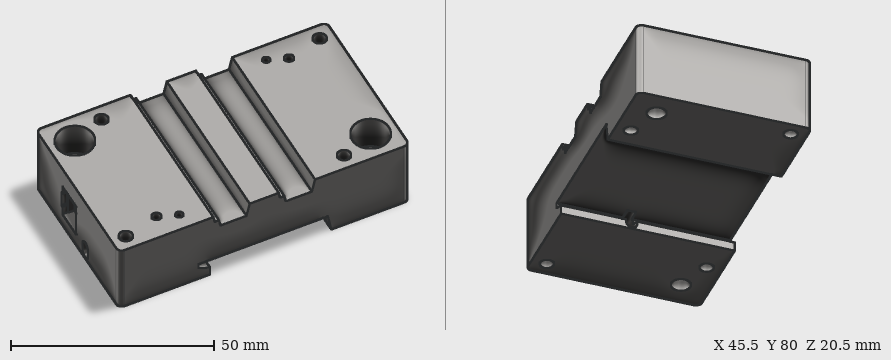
import cadquery as cq

WIDTH = 45.5
LENGTH = 80.0
HEIGHT = 20.5
CORNER_RADIUS = 1.5

GROOVE_BACK_EDGES = (14.0, -4.0)
GROOVE_WIDTH = 10.0
GROOVE_DEPTH = 4.0
GROOVE_WALL_RUN = 0.9
STEP_DEPTH = 1.9
STEP_LEDGE = 1.1

CHANNEL_HEIGHT = 5.3
CHANNEL_MOUTH_BACK = 18.5
CHANNEL_CEILING_BACK = 17.5
CHANNEL_FRONT = -18.1
LIP_FRONT = -14.9
LIP_HEIGHT = 2.5
LIP_ROOT_HEIGHT = 3.9

THROUGH_DIAMETER = 3.5
THROUGH_POINTS = [(-18.7, 36.1), (18.7, 24.0)]
SCREW_DIAMETER = 5.0
COUNTERBORE_DIAMETER = 10.0
COUNTERBORE_DEPTH = 10.0
SCREW_POINTS = [(15.3, 33.0)]
BLIND_DEPTH = 6.0
LARGE_BLIND_DIAMETER = 2.5
LARGE_BLIND_POINTS = [(-16.2, 26.4)]
SMALL_BLIND_DIAMETER = 2.0
SMALL_BLIND_POINTS = [(-18.2, 21.1)]

POCKET_X = -4.5
POCKET_Z = 9.0
POCKET_HEIGHT = 10.1
RIM_WIDTH = 7.6
RIM_DEPTH = 1.5
WELL_WIDTH = 7.2
WELL_DEPTH = 3.2
NOTCH_REACH = 0.6
NOTCH_HEIGHT = 4.7

SLOT_X = 4.2
SLOT_Z = 3.1
SLOT_WIDTH = 3.0
SLOT_HEIGHT = 5.4

END_Y = -LENGTH / 2


def side_prism(points):
    """Prism across the full width from a closed outline of (y, z) points."""
    return cq.Workplane("YZ").polyline(points).close().extrude(WIDTH / 2, both=True)


def groove(back_edge):
    """Top groove; the stepped wall is the one on the -Y side."""
    front_edge = back_edge - GROOVE_WIDTH
    floor_z = HEIGHT - GROOVE_DEPTH
    step_z = HEIGHT - STEP_DEPTH
    step_inset = GROOVE_WALL_RUN * STEP_DEPTH / GROOVE_DEPTH
    return side_prism([
        (back_edge, HEIGHT),
        (back_edge - GROOVE_WALL_RUN, floor_z),
        (front_edge + STEP_LEDGE + GROOVE_WALL_RUN, floor_z),
        (front_edge + STEP_LEDGE + step_inset, step_z),
        (front_edge + step_inset, step_z),
        (front_edge, HEIGHT),
    ])


def rail_channel():
    return side_prism([
        (CHANNEL_MOUTH_BACK, 0),
        (CHANNEL_CEILING_BACK, CHANNEL_HEIGHT),
        (CHANNEL_FRONT, CHANNEL_HEIGHT),
        (CHANNEL_FRONT, LIP_ROOT_HEIGHT),
        (LIP_FRONT, LIP_HEIGHT),
        (LIP_FRONT, 0),
    ])


def top_holes(points, diameter, depth):
    """Holes going down from the top face, with their half-turn counterparts."""
    opposite = [(-x, -y) for x, y in points]
    plane = cq.Workplane("XY").workplane(offset=HEIGHT)
    return plane.pushPoints(points + opposite).circle(diameter / 2).extrude(-depth)


def end_recess(x, width, height, depth):
    """Rectangular recess in the -Y end, centred at x and at the pocket height."""
    recess = cq.Workplane("XY").box(width, depth, height)
    return recess.translate((x, END_Y + depth / 2, POCKET_Z))


def connector_pocket():
    rim = end_recess(POCKET_X, RIM_WIDTH, POCKET_HEIGHT, RIM_DEPTH)
    well = end_recess(POCKET_X, WELL_WIDTH, POCKET_HEIGHT, WELL_DEPTH)
    notch_x = POCKET_X - NOTCH_REACH / 2
    notch = end_recess(notch_x, RIM_WIDTH + NOTCH_REACH, NOTCH_HEIGHT, RIM_DEPTH)
    return rim.union(well).union(notch)


def end_slot():
    plane = cq.Workplane("XZ", origin=(SLOT_X, END_Y, SLOT_Z))
    return plane.slot2D(SLOT_HEIGHT, SLOT_WIDTH, 90).extrude(END_Y - LIP_FRONT)


block = cq.Workplane("XY").box(WIDTH, LENGTH, HEIGHT, centered=(True, True, False))
result = block.edges("|Z").fillet(CORNER_RADIUS)

for edge in GROOVE_BACK_EDGES:
    result = result.cut(groove(edge))
result = result.cut(rail_channel())

result = result.cut(top_holes(THROUGH_POINTS, THROUGH_DIAMETER, HEIGHT))
result = result.cut(top_holes(SCREW_POINTS, SCREW_DIAMETER, HEIGHT))
result = result.cut(top_holes(SCREW_POINTS, COUNTERBORE_DIAMETER, COUNTERBORE_DEPTH))
result = result.cut(top_holes(LARGE_BLIND_POINTS, LARGE_BLIND_DIAMETER, BLIND_DEPTH))
result = result.cut(top_holes(SMALL_BLIND_POINTS, SMALL_BLIND_DIAMETER, BLIND_DEPTH))

result = result.cut(connector_pocket())
result = result.cut(end_slot())